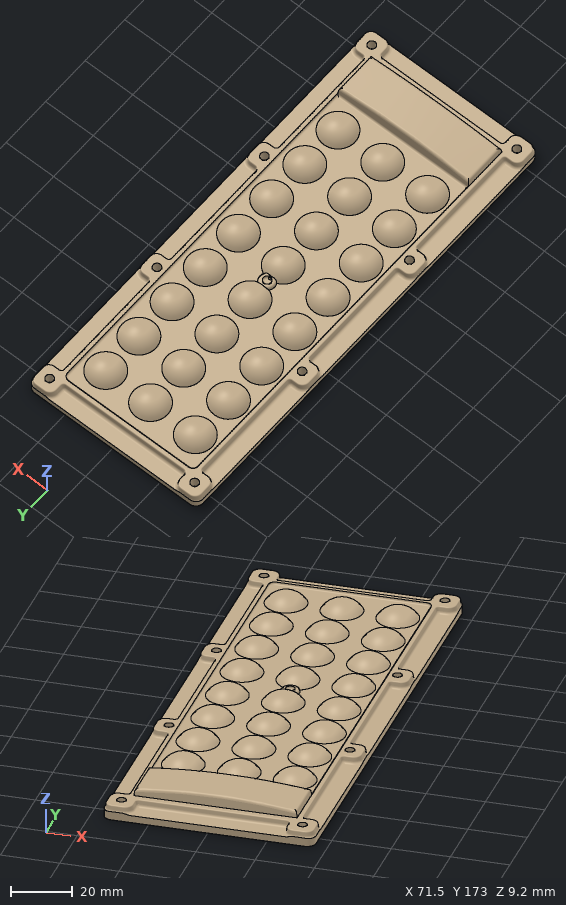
import cadquery as cq
WIDTH = 71.5
LENGTH = 173.0
PLATE_HEIGHT = 2.6
PLATE_CORNER_RADIUS = 3.1

DRAFT = 8.0

FRAME_TOP = 5.2
FRAME_INSET = 6.2
FRAME_FOOT_RADIUS = 1.2
FRAME_EDGE_RADIUS = 0.5

HOLE_SIDE_INSET = 5.2
HOLE_END_INSET = 5.0
HOLE_DIAMETER = 3.1
HOLES_PER_SIDE = 4
BOSS_SIZE = 9.9
BOSS_CORNER_RADIUS = 3.1
BOSS_ROOT_RADIUS = 0.9

POCKET_INSET = 8.3
POCKET_FLOOR = 4.2
POCKET_CORNER_RADIUS = 2.0
POCKET_FOOT_RADIUS = 0.9

BLOCK_WIDTH = 55.4
BLOCK_FRONT_Y = -77.7
BLOCK_BACK_Y = -60.5
BLOCK_TOP = 9.2
BLOCK_SIDE_TOP = 7.5
BLOCK_EDGE_RADIUS = 1.2

DOME_COLUMNS = 3
DOME_ROWS = 8
DOME_COLUMN_PITCH = 18.9
DOME_ROW_PITCH = 16.8
FIRST_ROW_Y = 67.1
DOME_DIAMETER = 14.2
DOME_TOP = 8.1

RING_DIAMETER = 6.2
RING_BORE = 3.1
RING_HEIGHT = 1.2
RING_EDGE_RADIUS = 1.0
RING_BORE_FOOT_RADIUS = 0.9
RING_Y = 8.1

TOLERANCE = 0.02

HOLE_X = WIDTH / 2 - HOLE_SIDE_INSET
HOLE_Y = LENGTH / 2 - HOLE_END_INSET
HOLE_PITCH = 2 * HOLE_Y / (HOLES_PER_SIDE - 1)
HOLE_CENTERS = [
    (side * HOLE_X, -HOLE_Y + index * HOLE_PITCH)
    for side in (-1, 1)
    for index in range(HOLES_PER_SIDE)
]
BLOCK_MIDDLE_Y = (BLOCK_FRONT_Y + BLOCK_BACK_Y) / 2


def prism(width, length, bottom, top):
    """Box centred on the Z axis between two heights."""
    return cq.Workplane("XY", origin=(0, 0, bottom)).rect(width, length).extrude(top - bottom)


def box_around(width, length, bottom, top):
    """Selector for edges whose centre lies in a box centred on the Z axis."""
    x = width / 2 + TOLERANCE
    y = length / 2 + TOLERANCE
    return cq.selectors.BoxSelector((-x, -y, bottom - TOLERANCE), (x, y, top + TOLERANCE))


def frame():
    """Drafted rim with the bosses grown into it and a rounded top edge."""
    height = FRAME_TOP - PLATE_HEIGHT
    rim_width = WIDTH - 2 * FRAME_INSET
    rim_length = LENGTH - 2 * FRAME_INSET
    bosses = (
        cq.Workplane("XY", origin=(0, 0, PLATE_HEIGHT))
        .pushPoints(HOLE_CENTERS)
        .rect(BOSS_SIZE, BOSS_SIZE)
        .extrude(height)
        .edges("|Z")
        .fillet(BOSS_CORNER_RADIUS)
    )
    outline = (
        prism(rim_width, rim_length, PLATE_HEIGHT, FRAME_TOP)
        .union(bosses)
        .edges("|Z")
        .edges(box_around(rim_width, rim_length, PLATE_HEIGHT, FRAME_TOP))
        .fillet(BOSS_ROOT_RADIUS)
        .faces("<Z")
        .wires()
        .val()
    )
    return (
        cq.Workplane("XY", origin=(0, 0, PLATE_HEIGHT))
        .add(outline)
        .toPending()
        .extrude(height, taper=DRAFT)
        .faces(">Z")
        .edges()
        .fillet(FRAME_EDGE_RADIUS)
    )


def framed_plate():
    """Plate and frame. The foot rounding overruns the plate, so it is trimmed to the outline."""
    margin = 2 * FRAME_INSET
    oversized = prism(WIDTH + margin, LENGTH + margin, 0, PLATE_HEIGHT).union(frame())
    rounded = oversized.edges(box_around(WIDTH, LENGTH, PLATE_HEIGHT, PLATE_HEIGHT)).fillet(FRAME_FOOT_RADIUS)
    outline = prism(WIDTH, LENGTH, 0, FRAME_TOP).edges("|Z").fillet(PLATE_CORNER_RADIUS)
    return rounded.intersect(outline)


def pocket():
    """Shallow drafted recess that ends underneath the block."""
    back_y = LENGTH / 2 - POCKET_INSET
    length = back_y - BLOCK_MIDDLE_Y
    return (
        cq.Workplane("XY", origin=(0, BLOCK_MIDDLE_Y + length / 2, FRAME_TOP))
        .sketch()
        .rect(WIDTH - 2 * POCKET_INSET, length)
        .vertices()
        .fillet(POCKET_CORNER_RADIUS)
        .finalize()
        .extrude(POCKET_FLOOR - FRAME_TOP, taper=DRAFT)
    )


def crowned_block():
    """Drafted block under a cylindrical crown with a rounded top edge."""
    half = BLOCK_WIDTH / 2
    crown = (
        cq.Workplane("XZ", origin=(0, BLOCK_BACK_Y, 0))
        .moveTo(-half, PLATE_HEIGHT)
        .lineTo(-half, BLOCK_SIDE_TOP)
        .threePointArc((0, BLOCK_TOP), (half, BLOCK_SIDE_TOP))
        .lineTo(half, PLATE_HEIGHT)
        .close()
        .extrude(BLOCK_BACK_Y - BLOCK_FRONT_Y)
    )
    return (
        cq.Workplane("XY", origin=(0, BLOCK_MIDDLE_Y, POCKET_FLOOR))
        .rect(BLOCK_WIDTH, BLOCK_BACK_Y - BLOCK_FRONT_Y)
        .extrude(BLOCK_TOP, taper=DRAFT)
        .intersect(crown)
        .faces(">Z")
        .edges()
        .fillet(BLOCK_EDGE_RADIUS)
    )


def domes():
    """Grid of spherical caps, rooted in the plate and meeting the pocket floor at full diameter."""
    rise = DOME_TOP - POCKET_FLOOR
    radius = ((DOME_DIAMETER / 2) ** 2 + rise**2) / (2 * rise)
    first_x = -(DOME_COLUMNS - 1) / 2 * DOME_COLUMN_PITCH
    centers = [
        (first_x + column * DOME_COLUMN_PITCH, FIRST_ROW_Y - row * DOME_ROW_PITCH)
        for column in range(DOME_COLUMNS)
        for row in range(DOME_ROWS)
    ]
    spheres = cq.Workplane("XY", origin=(0, 0, DOME_TOP - radius)).pushPoints(centers).sphere(radius)
    return spheres.intersect(prism(WIDTH, LENGTH, PLATE_HEIGHT, DOME_TOP))


def ring():
    """Low ring with a rounded outer edge and a dished bore."""
    base = cq.Workplane("XY", origin=(0, RING_Y, POCKET_FLOOR))
    disc = base.circle(RING_DIAMETER / 2).extrude(RING_HEIGHT).faces(">Z").edges().fillet(RING_EDGE_RADIUS)
    bore = base.circle(RING_BORE / 2).extrude(RING_HEIGHT).faces("<Z").edges().fillet(RING_BORE_FOOT_RADIUS)
    return disc.cut(bore)


floor_edges = box_around(WIDTH, LENGTH, POCKET_FLOOR, POCKET_FLOOR)
housing = framed_plate().cut(pocket()).union(crowned_block())
housing = housing.edges(floor_edges).fillet(POCKET_FOOT_RADIUS)
holes = cq.Workplane("XY").pushPoints(HOLE_CENTERS).circle(HOLE_DIAMETER / 2).extrude(FRAME_TOP)
result = housing.union(ring()).union(domes()).cut(holes)